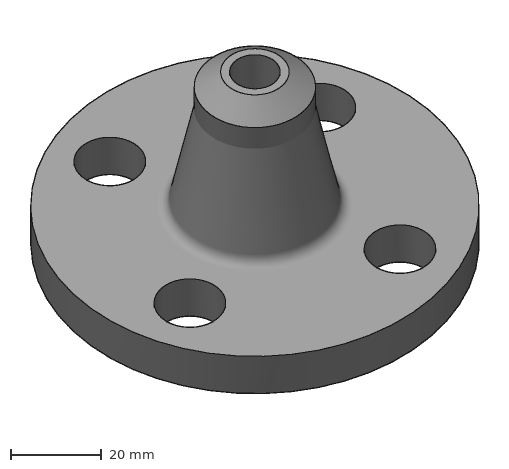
import cadquery as cq
import math

flange_diameter = 98.55
flange_thickness = 11.11
face_diameter = 42.93
face_height = 1.59
overall_height = 52.39

hub_diameter = 38.4
pipe_diameter = 26.67
bore_diameter = 11.1
cylinder_length = 6.35
land_width = 1.98
bevel_angle = 37.5
hub_fillet_radius = 2.8

bolt_circle_diameter = 69.85
bolt_hole_diameter = 15.75
bolt_hole_count = 4

flange_top = face_height + flange_thickness
hub_radius = hub_diameter / 2
pipe_radius = pipe_diameter / 2
land_radius = bore_diameter / 2 + land_width
bevel_height = (pipe_radius - land_radius) * math.tan(math.radians(bevel_angle))
bevel_start = overall_height - bevel_height
taper_end = bevel_start - cylinder_length


def turned_body():
    """Revolve the raised face, flange plate and welding neck about Z."""
    return (
        cq.Workplane("XZ")
        .lineTo(face_diameter / 2, 0)
        .lineTo(face_diameter / 2, face_height)
        .lineTo(flange_diameter / 2, face_height)
        .lineTo(flange_diameter / 2, flange_top)
        .lineTo(hub_radius, flange_top)
        .lineTo(pipe_radius, taper_end)
        .lineTo(pipe_radius, bevel_start)
        .lineTo(land_radius, overall_height)
        .lineTo(0, overall_height)
        .close()
        .revolve(360, (0, 0, 0), (0, 1, 0))
    )


def fillet_hub_root(body):
    """Round the inside corner where the hub meets the flange plate."""
    plate_top_centre = (0, 0, flange_top)
    plate_top = body.faces(cq.selectors.NearestToPointSelector(plate_top_centre))
    hub_root = plate_top.edges(cq.selectors.RadiusNthSelector(0))
    return hub_root.fillet(hub_fillet_radius)


def bore():
    """Cylinder for the through bore."""
    return cq.Workplane("XY").circle(bore_diameter / 2).extrude(overall_height)


def bolt_holes():
    """Cylinders for the evenly spaced bolt holes."""
    return (
        cq.Workplane("XY")
        .polarArray(bolt_circle_diameter / 2, 0, 360, bolt_hole_count)
        .circle(bolt_hole_diameter / 2)
        .extrude(flange_top)
    )


result = fillet_hub_root(turned_body()).cut(bore()).cut(bolt_holes())